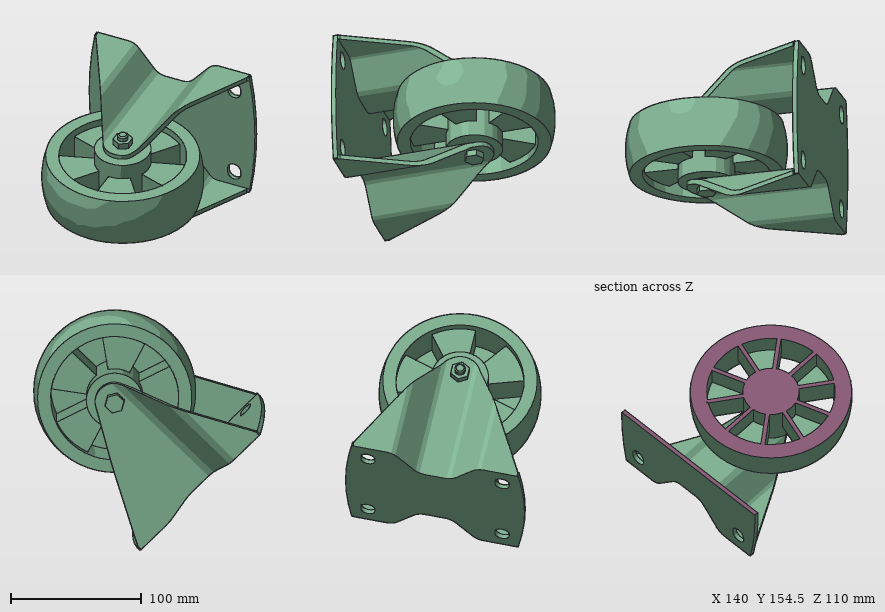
import cadquery as cq
import math

sheet = 3.5
fork_height = 110.0
plate_corner_height = 109.1
plate_width = 140.0
plate_corner_width = 130.5
slot_width = 11.0
slot_length = 14.0
slot_spacing_x = 105.1
slot_spacing_z = 77.7

axle_y = -92.4
tip_radius = 15.0
arm_root_half_width = 64.1
arm_taper_half_width = 63.5
root_fillet = 1.4
arm_gap = 55.0
channel_half_floor = 7.3
bend_radius = 12.0
bend_angle = math.radians(50)

wheel_radius = 62.1
wheel_edge_radius = 59.0
wheel_width = 40.0
rim_inner_diameter = 98.0
web_recess = 6.0
web_wall = 3.5
pocket_count = 5
hub_diameter = 43.5
hub_length = 53.2
washer_diameter = 20.0

hex_across_flats = 13.1
hex_height = 5.0
bolt_diameter = 8.0
bolt_top = 40.0
bolt_chamfer = 1.1

half_height = fork_height / 2
floor_z = arm_gap / 2 + sheet
channel_depth = half_height - floor_z
clear_z = fork_height


def channel_points(depth):
    """Half of the channel line, at a depth below the outer face of the sheet.

    Gives the ends of the two bends, from the channel floor outwards.
    """
    inner_r = bend_radius + depth
    outer_r = bend_radius - depth
    slope_height = channel_depth - 2 * bend_radius * (1 - math.cos(bend_angle))
    slope_run = slope_height / math.tan(bend_angle)
    flange_x = channel_half_floor + 2 * bend_radius * math.sin(bend_angle) + slope_run
    inner_center_z = floor_z + bend_radius
    outer_center_z = half_height - bend_radius
    sine = math.sin(bend_angle)
    cosine = math.cos(bend_angle)
    return [
        (channel_half_floor, inner_center_z - inner_r),
        (channel_half_floor + inner_r * sine, inner_center_z - inner_r * cosine),
        (flange_x - outer_r * sine, outer_center_z + outer_r * cosine),
        (flange_x, outer_center_z + outer_r),
    ]


def mirrored(shape, plane):
    """Shape joined with its mirror image."""
    return shape.union(shape.mirror(plane))


def space_above_channel(depth, length):
    """Everything above the channel line at the given depth below the sheet's outer face."""
    floor_end, slope_start, slope_end, flange_start = channel_points(depth)
    half = (
        cq.Workplane("XZ")
        .moveTo(0, clear_z)
        .lineTo(0, floor_end[1])
        .lineTo(*floor_end)
        .tangentArcPoint(slope_start, relative=False)
        .lineTo(*slope_end)
        .tangentArcPoint(flange_start, relative=False)
        .lineTo(plate_width / 2, flange_start[1])
        .lineTo(plate_width / 2, clear_z)
        .close()
        .extrude(length)
    )
    return mirrored(half, "YZ")


def mounting_plate():
    """Flat plate with bulged sides, four slots along Z and notches under the channels."""
    corner_x = plate_corner_width / 2
    corner_z = plate_corner_height / 2
    upper_notch = space_above_channel(0, sheet)
    slots = (
        cq.Workplane("XZ")
        .rarray(slot_spacing_x, slot_spacing_z, 2, 2)
        .slot2D(slot_length, slot_width, 90)
        .extrude(sheet)
    )
    return (
        cq.Workplane("XZ")
        .moveTo(-corner_x, -corner_z)
        .lineTo(corner_x, -corner_z)
        .threePointArc((plate_width / 2, 0), (corner_x, corner_z))
        .lineTo(-corner_x, corner_z)
        .threePointArc((-plate_width / 2, 0), (-corner_x, -corner_z))
        .close()
        .extrude(sheet)
        .cut(slots)
        .cut(upper_notch)
        .cut(upper_notch.mirror("XY"))
    )


def tip_point(angle):
    """Point on the round end of an arm."""
    return tip_radius * math.cos(angle), axle_y + tip_radius * math.sin(angle)


def arm_outline():
    """Half outline of an arm seen along the axle, from the plate to the round end."""
    root_x = arm_taper_half_width
    root_y = -sheet - root_fillet
    root_run = root_y - axle_y
    root_distance = math.hypot(root_x, root_run)
    tangent_angle = math.atan2(root_run, root_x) - math.acos(tip_radius / root_distance)
    mid_angle = (tangent_angle - math.pi / 2) / 2
    return (
        cq.Workplane("XY")
        .lineTo(arm_root_half_width, 0)
        .lineTo(arm_root_half_width, -sheet)
        .lineTo(root_x + root_fillet, -sheet)
        .radiusArc((root_x, root_y), -root_fillet)
        .lineTo(*tip_point(tangent_angle))
        .threePointArc(tip_point(mid_angle), tip_point(-math.pi / 2))
        .close()
    )


def fork_arm():
    """Upper arm: channelled sheet tapering to a round end at the axle."""
    arm_length = tip_radius - axle_y
    arm_sheet = space_above_channel(sheet, arm_length).cut(space_above_channel(0, arm_length))
    outline = mirrored(arm_outline().extrude(clear_z), "YZ")
    return arm_sheet.intersect(outline)


def axle_cylinder(diameter, length):
    """Cylinder on the axle, centred on Z = 0."""
    return cq.Workplane("XY").center(0, axle_y).circle(diameter / 2).extrude(length / 2, both=True)


def tyre_and_rim():
    """Solid wheel with a crowned tread."""
    half_width = wheel_width / 2
    return (
        cq.Workplane("XZ")
        .moveTo(0, -half_width)
        .lineTo(wheel_edge_radius, -half_width)
        .threePointArc((wheel_radius, 0), (wheel_edge_radius, half_width))
        .lineTo(0, half_width)
        .close()
        .revolve(360, (0, 0), (0, 1))
        .translate((0, axle_y, 0))
    )


def rim_recess():
    """Shallow round recess in both faces of the wheel."""
    web_thickness = wheel_width - 2 * web_recess
    return axle_cylinder(rim_inner_diameter, wheel_width).cut(axle_cylinder(rim_inner_diameter, web_thickness))


def pockets():
    """Wedge pockets in the upper face, one pointing to -X, each leaving a thin floor."""
    half_angle = math.pi / pocket_count / 2
    apex = web_wall / 2 / math.sin(half_angle)
    reach = rim_inner_diameter
    half_reach = (reach - apex) * math.tan(half_angle)
    floor = web_recess + web_wall - wheel_width / 2
    wedges = cq.Workplane("XY")
    for index in range(pocket_count):
        wedge = (
            cq.Workplane("XY", origin=(0, 0, floor))
            .polyline([(-apex, 0), (-reach, -half_reach), (-reach, half_reach)])
            .close()
            .extrude(wheel_width / 2 - floor)
            .rotate((0, 0, 0), (0, 0, 1), index * 360 / pocket_count)
            .translate((0, axle_y, 0))
        )
        wedges = wedges.union(wedge)
    return wedges.intersect(axle_cylinder(rim_inner_diameter, wheel_width))


def wheel():
    """Wheel with hub and a web of pockets opening alternately up and down."""
    upper_pockets = pockets()
    lower_pockets = upper_pockets.rotate((0, axle_y, 0), (1, axle_y, 0), 180)
    lower_pockets = lower_pockets.rotate((0, axle_y, 0), (0, axle_y, 1), 180)
    return (
        tyre_and_rim()
        .cut(rim_recess())
        .cut(upper_pockets)
        .cut(lower_pockets)
        .union(axle_cylinder(hub_diameter, hub_length))
        .union(axle_cylinder(washer_diameter, arm_gap))
    )


def bolt():
    """Hexagons on both arms and the bolt end above the upper one."""
    hex_diameter = hex_across_flats / math.cos(math.pi / 6)
    hexagon = (
        cq.Workplane("XY", origin=(0, axle_y, floor_z))
        .polygon(6, hex_diameter)
        .extrude(hex_height)
        .rotate((0, axle_y, 0), (0, axle_y, 1), 30)
    )
    bolt_end = (
        cq.Workplane("XY", origin=(0, axle_y, floor_z))
        .circle(bolt_diameter / 2)
        .extrude(bolt_top - floor_z)
        .faces(">Z")
        .chamfer(bolt_chamfer)
    )
    return mirrored(hexagon, "XY").union(bolt_end)


fork = mounting_plate().union(mirrored(fork_arm(), "XY"))
result = fork.union(wheel()).union(bolt())